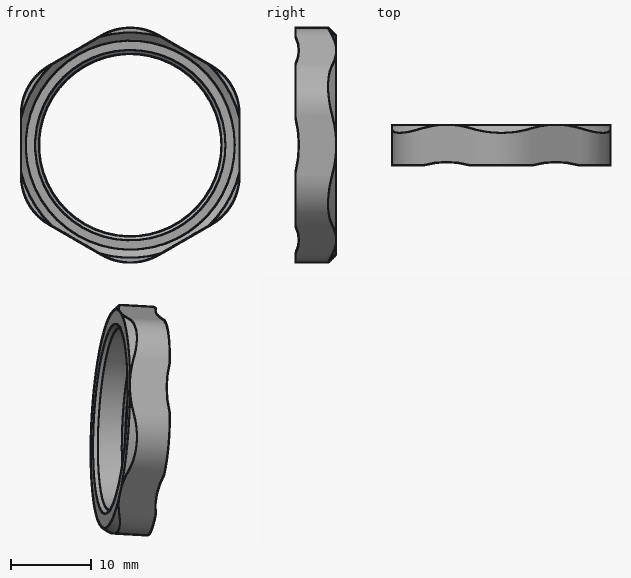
import cadquery as cq
import math

across_flats = 27.0
half_sector_angle = 30.0
thickness = 5.0
corner_radius = 7.0

bore_diameter = 22.5
bore_chamfer = 0.5

dish_rim_diameter = 27.8
dish_depth = 1.0

chamfer_face_diameter = 27.05

blank_margin = 1.0


def revolve_about_y(profile):
    """Solid of revolution about Y from a closed outline of (radius, y) points."""
    return cq.Workplane("XY").polyline(profile).close().revolve(360, (0, 0, 0), (0, 1, 0))


sharp_corner_distance = across_flats / 2 / math.cos(math.radians(half_sector_angle))


def hexagon_body():
    """Hexagonal prism with rounded corners, flats facing +X and -X."""
    prism = (
        cq.Workplane("XZ")
        .transformed(rotate=(0, 0, half_sector_angle))
        .polygon(6, 2 * sharp_corner_distance)
        .extrude(-thickness)
    )
    return prism.edges("|Y").fillet(corner_radius)


def corner_chamfer_blank():
    """Turned blank whose cone trims the hexagon corners at the +Y face."""
    face_radius = chamfer_face_diameter / 2
    blank_radius = sharp_corner_distance + blank_margin
    chamfer_drop = blank_radius - face_radius
    return revolve_about_y([
        (0, 0),
        (blank_radius, 0),
        (blank_radius, thickness - chamfer_drop),
        (face_radius, thickness),
        (0, thickness),
    ])


def bore_and_dish():
    """Material removed by the bore, its chamfers and the conical dish."""
    bore_radius = bore_diameter / 2
    chamfer_radius = bore_radius + bore_chamfer
    rim_radius = dish_rim_diameter / 2
    return revolve_about_y([
        (0, 0),
        (rim_radius, 0),
        (rim_radius - dish_depth, dish_depth),
        (chamfer_radius, dish_depth),
        (bore_radius, dish_depth + bore_chamfer),
        (bore_radius, thickness - bore_chamfer),
        (chamfer_radius, thickness),
        (0, thickness),
    ])


result = hexagon_body().intersect(corner_chamfer_blank()).cut(bore_and_dish())